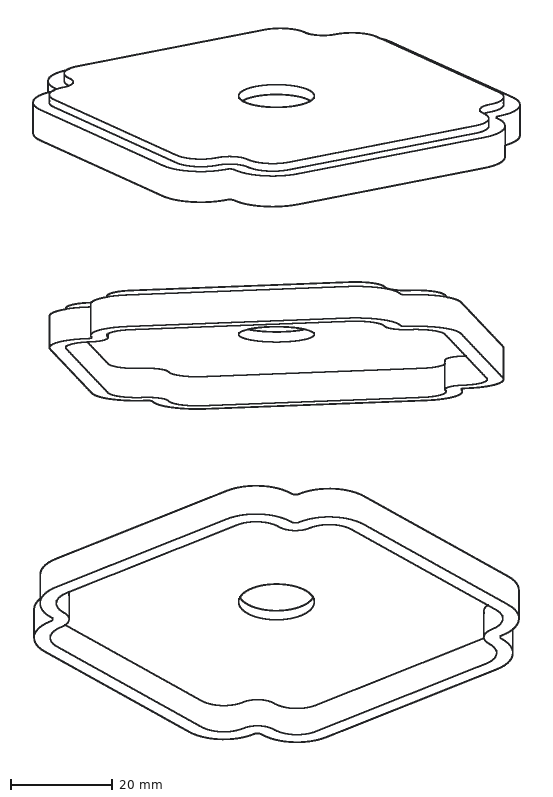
import cadquery as cq

width = 82.55
total_height = 7.9
step_height = 1.6
base_height = total_height - step_height
rim_width = 3.2

notch_size = 10.2
lobe_radius = 9.0
notch_radius = 1.0

top_thickness = 2.1
cavity_depth = total_height - top_thickness
hole_diameter = 14.95


def rounded_block(size_x, size_y, corner_radius, height):
    """Rectangular block standing on Z = 0 with rounded vertical edges."""
    block = cq.Workplane("XY").rect(size_x, size_y).extrude(height)
    return block.edges("|Z").fillet(corner_radius)


def notched_plate(inset, height):
    """Square plate with a rounded notch in each corner, its outline moved inward by inset."""
    side = width - 2 * inset
    arm_width = side - 2 * notch_size

    outer_radius = lobe_radius - inset
    inner_radius = notch_radius + inset

    arm_along_x = rounded_block(side, arm_width, outer_radius, height)
    arm_along_y = rounded_block(arm_width, side, outer_radius, height)
    plate = arm_along_x.union(arm_along_y)

    reach = arm_width / 2 + notch_radius / 2
    inner_corners = cq.selectors.BoxSelector((-reach, -reach, 0), (reach, reach, height))
    return plate.edges("|Z").edges(inner_corners).fillet(inner_radius)


base = notched_plate(0, base_height)
step = notched_plate(rim_width, step_height).translate((0, 0, base_height))

cavity = notched_plate(rim_width, cavity_depth)
hole = cq.Workplane("XY").circle(hole_diameter / 2).extrude(total_height)

result = base.union(step).cut(cavity).cut(hole)